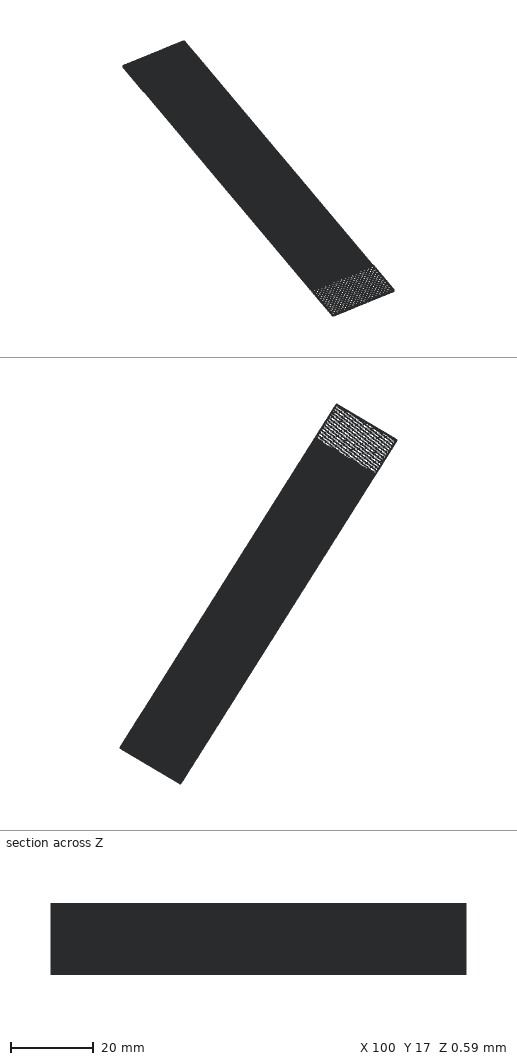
import cadquery as cq


length = 100.0
width = 17.0
thickness = 0.59

pitch = 0.5
channel_count = 33
channel_width = 0.3
core_thickness = 0.05

film_thickness = 0.045
stiffener_thickness = (thickness - core_thickness) / 2 - film_thickness
stiffener_length = 10.0
exposed_length = 5.0

lower_film_bottom = stiffener_thickness
core_bottom = lower_film_bottom + film_thickness
upper_film_bottom = core_bottom + core_thickness
upper_stiffener_bottom = upper_film_bottom + film_thickness


def sheet(start_x, end_x, bottom, height):
    """Full-width flat sheet between two X positions."""
    blank = cq.Workplane("XY").box(end_x - start_x, width, height, centered=(False, True, False))
    return blank.translate((start_x, 0, bottom))


def channels():
    """Row of parallel channels running the full length and through the core sheet."""
    return (
        cq.Workplane("XY")
        .workplane(offset=core_bottom)
        .center(length / 2, 0)
        .rarray(1, pitch, 1, channel_count)
        .rect(length, channel_width)
        .extrude(core_thickness)
    )


lower_stiffener = sheet(0, stiffener_length, 0, stiffener_thickness)
lower_film = sheet(0, length - exposed_length, lower_film_bottom, film_thickness)
core = sheet(0, length, core_bottom, core_thickness).cut(channels())
upper_film = sheet(exposed_length, length, upper_film_bottom, film_thickness)
upper_stiffener = sheet(length - stiffener_length, length, upper_stiffener_bottom, stiffener_thickness)

lower_side = lower_film.union(lower_stiffener)
upper_side = upper_film.union(upper_stiffener)
result = core.union(lower_side).union(upper_side)